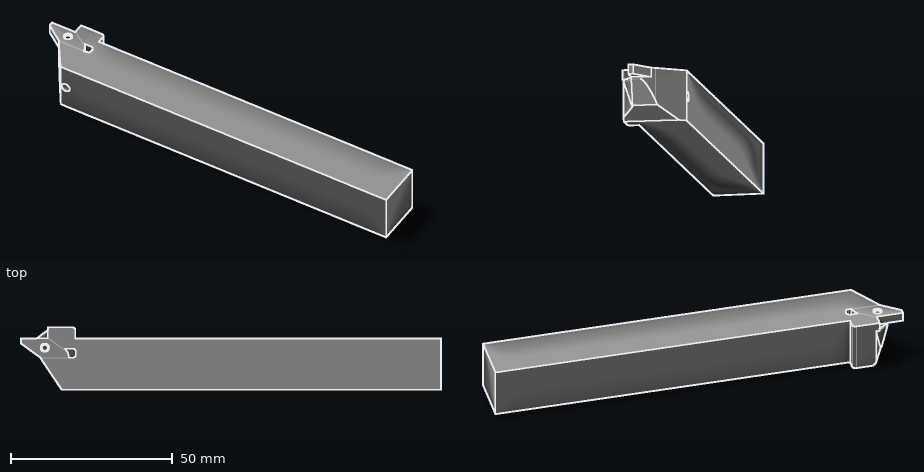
import cadquery as cq
import math

length = 130.0
shank_width = 15.9
height = 15.9
bevel_start = 12.6
bevel_slope = 0.67
bevel_end_y = 8.7

front_x = 4.8
step_z = 12.2
kink_x = 6.8
kink_z = 4.3
toe_x = 10.5
relief_line = [(front_x, height), (front_x, step_z), (kink_x, kink_z), (toe_x, 0)]
front_skew = 0.05

lug_start = 8.3
lug_end = 16.9
lug_y = 19.4
lug_corner = 1.0
flank_slope = 1.37
wall_start = 7.0
wall_slope = 0.7

insert_thickness = 3.0
seat_z = height - insert_thickness
insert_tip_y = 14.3
insert_low_y = 9.9
insert_back = 8.6
pocket_top_y = 12.7
insert_end_low = 15.0
insert_end_high = 13.6
insert_end_mid = (14.5, 11.3)
pocket_end = 17.0
pocket_corner = 1.0
pin_x, pin_y = 7.4, 13.0
pin_rim_radius = 1.3
pin_rim_depth = 0.5
pin_hole_radius = 0.9

screw_x, screw_z = 14.4, 7.9
screw_radius = 1.4
screw_depth = 2.6
drive_radius = 0.6
drive_depth = 1.3


def prism(points, bottom, top):
    return cq.Workplane("XY").workplane(offset=bottom).polyline(points).close().extrude(top - bottom)


def skewed_block(profile, y_start, y_end, skew):
    """Sweep an XZ profile along Y while it shifts in X by skew per unit of Y."""
    def section(y):
        shift = skew * (y - shank_width)
        points = [cq.Vector(x + shift, y, z) for x, z in profile]
        return cq.Wire.makePolygon(points, close=True)
    return cq.Workplane(obj=cq.Solid.makeLoft([section(y_start), section(y_end)], True))


def make_shank():
    bevel_end_x = bevel_start - bevel_slope * bevel_end_y
    bevel_angle = math.atan(bevel_slope)
    nose_radius = (shank_width - bevel_end_y) / math.sin(bevel_angle)
    center_x = bevel_end_x + nose_radius * math.cos(bevel_angle)
    return (
        cq.Workplane("XY")
        .moveTo(bevel_start, 0)
        .lineTo(bevel_end_x, bevel_end_y)
        .threePointArc(
            (center_x - nose_radius * math.cos(bevel_angle / 2),
             shank_width - nose_radius * math.sin(bevel_angle / 2)),
            (center_x - nose_radius, shank_width),
        )
        .lineTo(length, shank_width)
        .lineTo(length, 0)
        .close()
        .extrude(height)
    )


def make_lug():
    wall_end = wall_start + wall_slope * (lug_y - shank_width)
    wall = prism(
        [(wall_start, shank_width), (wall_end, lug_y), (lug_end, lug_y), (lug_end, shank_width)],
        0, seat_z,
    )
    flank = skewed_block(
        relief_line + [(lug_end, 0), (lug_end, height)],
        shank_width, lug_y, flank_slope,
    ).intersect(cq.Workplane("XY").box(lug_end, lug_y, seat_z, centered=False))
    upper = prism(
        [(lug_start, shank_width), (lug_start, lug_y), (lug_end, lug_y), (lug_end, shank_width)],
        seat_z, height,
    )
    lug = upper.union(wall).union(flank)
    return lug.edges("|Z and >X and >Y").fillet(lug_corner)


def make_insert():
    outline = (
        cq.Workplane("XY").workplane(offset=seat_z)
        .moveTo(0, shank_width)
        .lineTo(0, insert_tip_y)
        .lineTo(flank_slope * (insert_tip_y - insert_low_y), insert_low_y)
        .lineTo(insert_end_low, insert_low_y)
        .threePointArc(insert_end_mid, (insert_end_high, pocket_top_y))
        .lineTo(insert_back + flank_slope * (shank_width - pocket_top_y), pocket_top_y)
        .lineTo(insert_back, shank_width)
        .close()
    )
    return outline.extrude(insert_thickness)


def make_pocket():
    return prism(
        [(insert_end_high, insert_low_y), (pocket_end, insert_low_y),
         (pocket_end, pocket_top_y), (insert_end_high, pocket_top_y)],
        seat_z, height,
    ).edges("|Z and >X").fillet(pocket_corner)


def make_pin_hole():
    rim = cq.Workplane("XY").workplane(offset=height - pin_rim_depth)
    rim = rim.center(pin_x, pin_y).circle(pin_rim_radius).extrude(pin_rim_depth)
    hole = cq.Workplane("XY").workplane(offset=seat_z)
    return rim.union(hole.center(pin_x, pin_y).circle(pin_hole_radius).extrude(insert_thickness))


def make_screw_hole():
    def bore(radius, depth):
        return cq.Workplane("XZ").center(screw_x, screw_z).circle(radius).extrude(-depth)
    return bore(screw_radius, screw_depth).union(bore(drive_radius, screw_depth + drive_depth))


clearance_profile = relief_line + [(length + lug_end, 0), (length + lug_end, height)]
clearance = skewed_block(clearance_profile, 0, lug_y, -front_skew)
insert = make_insert()
body = make_shank().union(make_lug()).intersect(clearance)
body = body.cut(make_pocket()).cut(insert).union(insert, clean=False)
result = body.cut(make_pin_hole(), clean=False).cut(make_screw_hole(), clean=False)